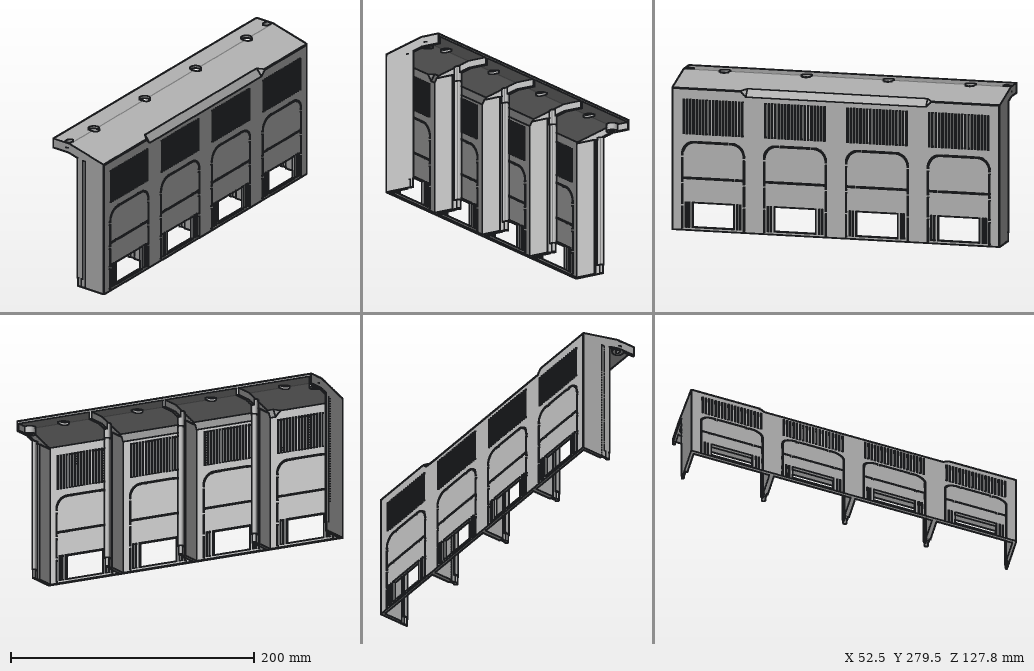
import cadquery as cq
import math

DEPTH = 52.5
WIDTH = 279.5
HEIGHT = 127.8
BAYS = 4
BAY_WIDTH = WIDTH / BAYS
WALL = 2.5

LIP_DEPTH = 17.3
ROOF_REAR_Z = 118.8
ROOF_ANGLE = math.atan2(HEIGHT - ROOF_REAR_Z, DEPTH - LIP_DEPTH)
ROOF_DROP = WALL / math.cos(ROOF_ANGLE)
LIP_GUSSET = 8.5
GUSSET_THICKNESS = 2.5
END_GUSSET_THICKNESS = 4.0
EDGE_CHAMFER = 0.5

BEVEL_DEPTH = 5.0
BEVEL_BOTTOM_Z = 114.0
BEVEL_HALF_LENGTH = 77.0
BEVEL_END = 4.8
INNER_BEVEL_DEPTH = 3.4
INNER_BEVEL_BOTTOM_Z = 112.0

RIB_FRONT_X = 25.2
NOSE_REAR_X = 30.2
NOSE_RADIUS = 2.2
NOSE_BOTTOM_Z = 7.3
SLEEVE_RADIUS = 2.5
SLEEVE_BOTTOM_Z = 109.5
SLEEVE_TOP_Z = 122.5
TIP_RADIUS = 1.7
NECK_REAR_X = 32.7
NECK_THICKNESS = 2.0
RIB_THICKNESS = 4.0
END_RIB_THICKNESS = 5.5

ROOF_HOLE_X = 16.2
ROOF_HOLE_DIAMETER = 9.2
BOSS_X = 14.0
BOSS_FROM_END = 4.2
BOSS_RADIUS = 4.8
SCREW_HEAD_LENGTH = 7.3
SCREW_HEAD_WIDTH = 5.5
SCREW_HEAD_DEPTH = 4.8
SCREW_SLOT_LENGTH = 4.2
SCREW_SLOT_WIDTH = 3.0

SLIT = 0.8
VENTS = 19
VENT_PITCH = 2.8
VENT_BOTTOM_Z = 80.8
VENT_TOP_Z = 109.3
WINDOW_WIDTH = 35.5
WINDOW_BOTTOM_Z = 2.5
WINDOW_TOP_Z = 23.2
SIDE_SLIT_OFFSETS = (20.7, 23.2)
ARCH_HALF_WIDTH = 26.3
ARCH_BOTTOM_Z = 1.7
ARCH_TOP_Z = 73.8
ARCH_RADIUS = 10.3
CROSS_SLIT_Z = 43.5
LEG_BRIDGE = 2.5
LEG_BRIDGES_Z = (21.0, 39.5, 61.5)
THIN_BRIDGE = 1.7
TOP_BRIDGE_OFFSET = 13.5
CROSS_BRIDGE_OFFSET = 18.5


def box(x0, x1, y0, y1, z0, z1):
    return cq.Workplane("XY").box(x1 - x0, y1 - y0, z1 - z0, centered=False).translate((x0, y0, z0))


def side_prism(points, y_middle, thickness):
    """Extrude an XZ outline along Y, centred on y_middle."""
    outline = cq.Workplane("XZ", origin=(0, y_middle, 0)).polyline(points).close()
    return outline.extrude(thickness / 2, both=True)


def roof_z(x):
    """Height of the sloping roof's upper face."""
    return HEIGHT - (x - LIP_DEPTH) * math.tan(ROOF_ANGLE)


def bevel_wedge(rear_x, roof_offset, depth, bottom_z):
    """Wedge with slanted ends between the roof face, lowered by roof_offset, and the plane x = rear_x."""
    ends = []
    for side in (-1, 1):
        y_inner = WIDTH / 2 + side * BEVEL_HALF_LENGTH
        front = (rear_x - depth, y_inner, roof_z(rear_x - depth) - roof_offset)
        low = (rear_x, y_inner, bottom_z)
        corner = (rear_x, y_inner + side * BEVEL_END, roof_z(rear_x) - roof_offset)
        ends.append((front, low, corner))
    (front_a, low_a, corner_a), (front_b, low_b, corner_b) = ends
    outlines = [
        ends[0],
        ends[1],
        (front_a, front_b, low_b, low_a),
        (front_a, front_b, corner_b, corner_a),
        (low_a, low_b, corner_b, corner_a),
    ]
    faces = []
    for outline in outlines:
        points = [cq.Vector(*point) for point in outline]
        faces.append(cq.Face.makeFromWires(cq.Wire.makePolygon(points, close=True)))
    return cq.Workplane(cq.Solid.makeSolid(cq.Shell.makeShell(faces)))


def envelope():
    """Solid block with the part's outer surfaces."""
    outline = [(0, 0), (DEPTH, 0), (DEPTH, ROOF_REAR_Z), (LIP_DEPTH, HEIGHT), (0, HEIGHT)]
    block = side_prism(outline, WIDTH / 2, WIDTH)
    block = block.faces(">X").edges("not <Z").chamfer(EDGE_CHAMFER)
    block = block.faces("<X").edges("not <Z").chamfer(EDGE_CHAMFER)
    return block.cut(bevel_wedge(DEPTH, 0, BEVEL_DEPTH, BEVEL_BOTTOM_Z))


def cavity():
    """Space below the lip and roof and in front of the rear panel."""
    inner_x = DEPTH - WALL
    bend_x = LIP_DEPTH - WALL * math.tan(ROOF_ANGLE / 2)
    outline = [
        (0, 0),
        (inner_x, 0),
        (inner_x, roof_z(inner_x) - ROOF_DROP),
        (bend_x, HEIGHT - WALL),
        (0, HEIGHT - WALL),
    ]
    space = side_prism(outline, WIDTH / 2, WIDTH)
    return space.cut(bevel_wedge(inner_x, ROOF_DROP, INNER_BEVEL_DEPTH, INNER_BEVEL_BOTTOM_Z))


def round_front(y, radius, z0, z1):
    """Upright bar with a rounded front, flush with the front plane of the ribs."""
    centre_x = RIB_FRONT_X + radius
    bar = cq.Workplane("XY", origin=(centre_x, y, z0)).circle(radius).extrude(z1 - z0)
    return bar.union(box(centre_x, NOSE_REAR_X, y - radius, y + radius, z0, z1))


def rib(y, rib_thickness, gusset_thickness):
    """Rib with a rounded nose, a narrow neck and a gusset under the lip."""
    gusset_z = HEIGHT - LIP_GUSSET
    bend_x = LIP_DEPTH - LIP_GUSSET * math.tan(ROOF_ANGLE / 2)
    nose_top_z = gusset_z - (RIB_FRONT_X - bend_x) * math.tan(ROOF_ANGLE)
    rib_top_z = gusset_z - (NOSE_REAR_X - bend_x) * math.tan(ROOF_ANGLE)
    inner_x = DEPTH - WALL
    gusset = side_prism(
        [
            (0, gusset_z),
            (bend_x, gusset_z),
            (NOSE_REAR_X, rib_top_z),
            (inner_x, rib_top_z),
            (inner_x, roof_z(inner_x) - ROOF_DROP / 2),
            (LIP_DEPTH, HEIGHT - WALL / 2),
            (0, HEIGHT - WALL / 2),
        ],
        y,
        gusset_thickness,
    )
    plate = side_prism(
        [(NECK_REAR_X, 0), (inner_x, 0), (inner_x, rib_top_z), (NECK_REAR_X, rib_top_z)], y, rib_thickness
    )
    neck_x = RIB_FRONT_X + NOSE_RADIUS
    neck = box(neck_x, NECK_REAR_X, y - NECK_THICKNESS / 2, y + NECK_THICKNESS / 2, 0, rib_top_z)
    nose = round_front(y, NOSE_RADIUS, NOSE_BOTTOM_Z, nose_top_z)
    tip = cq.Workplane("XY", origin=(neck_x, y, 0)).circle(TIP_RADIUS).extrude(NOSE_BOTTOM_Z)
    return gusset.union(plate).union(neck).union(nose).union(tip)


def end_screw_places():
    return [(BOSS_X, BOSS_FROM_END), (BOSS_X, WIDTH - BOSS_FROM_END)]


def screw_bosses():
    """Round bosses under the two ends of the lip."""
    plane = cq.Workplane("XY", origin=(0, 0, HEIGHT - LIP_GUSSET))
    return plane.pushPoints(end_screw_places()).circle(BOSS_RADIUS).extrude(LIP_GUSSET - WALL / 2)


def roof_holes():
    """One hole over the middle of each bay and a counterbored slot in each boss."""
    top = cq.Workplane("XY", origin=(0, 0, HEIGHT))
    middles = [(ROOF_HOLE_X, (bay + 0.5) * BAY_WIDTH) for bay in range(BAYS)]
    ends = end_screw_places()
    holes = top.pushPoints(middles).circle(ROOF_HOLE_DIAMETER / 2).extrude(-LIP_GUSSET)
    heads = top.pushPoints(ends).slot2D(SCREW_HEAD_LENGTH, SCREW_HEAD_WIDTH, 90).extrude(-SCREW_HEAD_DEPTH)
    screws = top.pushPoints(ends).slot2D(SCREW_SLOT_LENGTH, SCREW_SLOT_WIDTH, 90).extrude(-LIP_GUSSET)
    return holes.union(heads).union(screws)


def panel_cut(y_middle, width, z0, z1):
    """Rectangular block through the rear panel."""
    return box(DEPTH - 2 * WALL, DEPTH + WALL, y_middle - width / 2, y_middle + width / 2, z0, z1)


def arch(half_width, top_z, radius, bottom_z):
    """Round-cornered arch through the panel, centred on Y = 0."""
    corner = radius * (1 - math.sqrt(0.5))
    outline = (
        cq.Workplane("YZ", origin=(DEPTH - 2 * WALL, 0, 0))
        .moveTo(-half_width, bottom_z)
        .lineTo(-half_width, top_z - radius)
        .threePointArc((-half_width + corner, top_z - corner), (-half_width + radius, top_z))
        .lineTo(half_width - radius, top_z)
        .threePointArc((half_width - corner, top_z - corner), (half_width, top_z - radius))
        .lineTo(half_width, bottom_z)
        .close()
    )
    return outline.extrude(3 * WALL)


def knockout_slits():
    """Arch and cross slit, interrupted by bridges that hold the knockout in place."""
    half = SLIT / 2
    outer = arch(ARCH_HALF_WIDTH + half, ARCH_TOP_Z + half, ARCH_RADIUS + half, ARCH_BOTTOM_Z)
    inner = arch(ARCH_HALF_WIDTH - half, ARCH_TOP_Z - half, ARCH_RADIUS - half, ARCH_BOTTOM_Z)
    cross = panel_cut(0, 2 * ARCH_HALF_WIDTH, CROSS_SLIT_Z - half, CROSS_SLIT_Z + half)
    slits = outer.cut(inner).union(cross)
    for z in LEG_BRIDGES_Z:
        slits = slits.cut(panel_cut(0, BAY_WIDTH, z - LEG_BRIDGE / 2, z + LEG_BRIDGE / 2))
    for side in (-1, 1):
        for offset, z in ((TOP_BRIDGE_OFFSET, ARCH_TOP_Z), (CROSS_BRIDGE_OFFSET, CROSS_SLIT_Z)):
            slits = slits.cut(panel_cut(side * offset, THIN_BRIDGE, z - SLIT, z + SLIT))
    return slits


def bay_cuts():
    """Vents, knockout, window and side slits of one bay, centred on Y = 0."""
    cuts = knockout_slits().union(panel_cut(0, WINDOW_WIDTH, WINDOW_BOTTOM_Z, WINDOW_TOP_Z))
    for index in range(VENTS):
        y = (index - (VENTS - 1) / 2) * VENT_PITCH
        cuts = cuts.union(panel_cut(y, SLIT, VENT_BOTTOM_Z, VENT_TOP_Z))
    for offset in SIDE_SLIT_OFFSETS:
        for side in (-1, 1):
            cuts = cuts.union(panel_cut(side * offset, SLIT, WINDOW_BOTTOM_Z, WINDOW_TOP_Z))
    return cuts


body = envelope()
added = screw_bosses()
for y_end in (0, WIDTH):
    added = added.union(rib(y_end, END_RIB_THICKNESS, END_GUSSET_THICKNESS))
for position in range(1, BAYS):
    added = added.union(rib(position * BAY_WIDTH, RIB_THICKNESS, GUSSET_THICKNESS))
    added = added.union(round_front(position * BAY_WIDTH, SLEEVE_RADIUS, SLEEVE_BOTTOM_Z, SLEEVE_TOP_Z))

result = body.cut(cavity()).union(added.intersect(body)).cut(roof_holes())
openings = bay_cuts()
for bay in range(BAYS):
    result = result.cut(openings.translate((0, (bay + 0.5) * BAY_WIDTH, 0)))